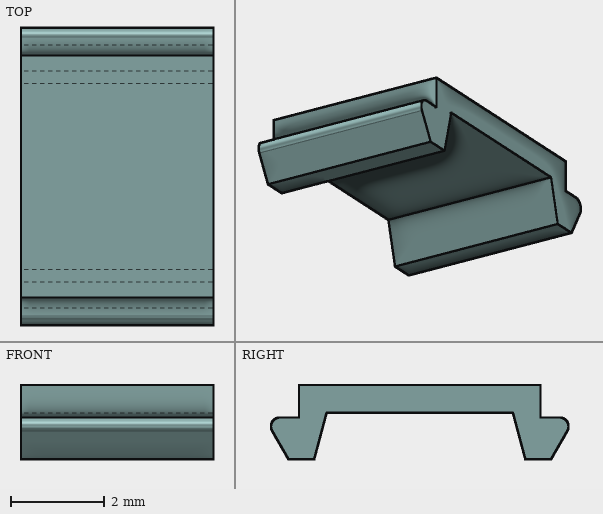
import cadquery as cq
import math

length_x = 4.15
width_y = 6.4
height_z = 1.6

plate_width = 5.2
step_depth = 0.7
plate_thickness = 0.6
recess_width = 4.0
recess_lean = math.radians(15)

lip_radius = 0.2
lip_lean = math.radians(30)

ledge_z = height_z - step_depth
recess_z = height_z - plate_thickness

lip_y = width_y / 2 - lip_radius
lip_z = ledge_z - lip_radius
tangent_y = lip_y + lip_radius * math.cos(lip_lean)
tangent_z = lip_z - lip_radius * math.sin(lip_lean)

foot_outer_y = tangent_y - tangent_z * math.tan(lip_lean)
foot_inner_y = recess_width / 2 + recess_z * math.tan(recess_lean)

half_profile = (
    cq.Workplane("YZ", origin=(-length_x / 2, 0, 0))
    .moveTo(0, height_z)
    .lineTo(plate_width / 2, height_z)
    .lineTo(plate_width / 2, ledge_z)
    .lineTo(lip_y, ledge_z)
    .threePointArc((width_y / 2, lip_z), (tangent_y, tangent_z))
    .lineTo(foot_outer_y, 0)
    .lineTo(foot_inner_y, 0)
    .lineTo(recess_width / 2, recess_z)
    .lineTo(0, recess_z)
    .close()
)

half_clip = half_profile.extrude(length_x)
result = half_clip.union(half_clip.mirror("XZ")).clean()